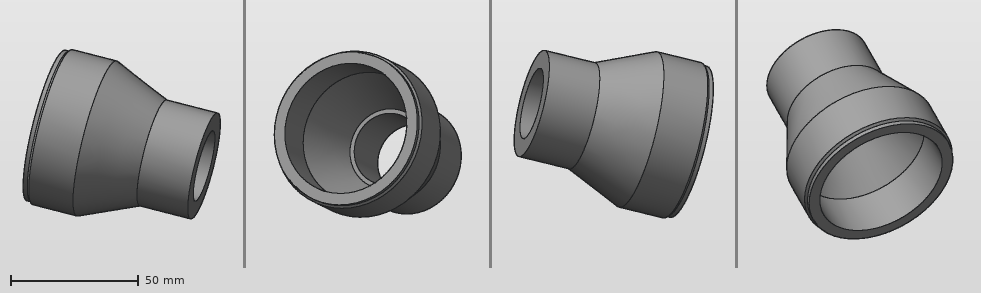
import cadquery as cq

length = 65.0
lip_end = 1.75
chamfer_end = 2.65
cone_start = 20.85
cone_end = 44.1
inner_cone_lead = 2.6
inner_cone_start = cone_start - inner_cone_lead
inner_cone_end = cone_end - inner_cone_lead

large_diameter = 63.0
lip_diameter = 61.2
small_diameter = 43.0

large_bore = 52.1
shoulder_diameter = 32.05
small_bore = 28.5


def revolve_about_x(stations):
    """Solid of revolution about X through (position, diameter) stations."""
    first_x = stations[0][0]
    last_x = stations[-1][0]
    outline = [(x, diameter / 2) for x, diameter in stations]
    profile = cq.Workplane("XY").polyline([(first_x, 0), *outline, (last_x, 0)]).close()
    return profile.revolve(360, (0, 0, 0), (1, 0, 0))


body = revolve_about_x([
    (0, lip_diameter),
    (lip_end, lip_diameter),
    (chamfer_end, large_diameter),
    (cone_start, large_diameter),
    (cone_end, small_diameter),
    (length, small_diameter),
])

bore = revolve_about_x([
    (0, large_bore),
    (inner_cone_start, large_bore),
    (inner_cone_end, shoulder_diameter),
    (inner_cone_end, small_bore),
    (length, small_bore),
])

result = body.cut(bore)